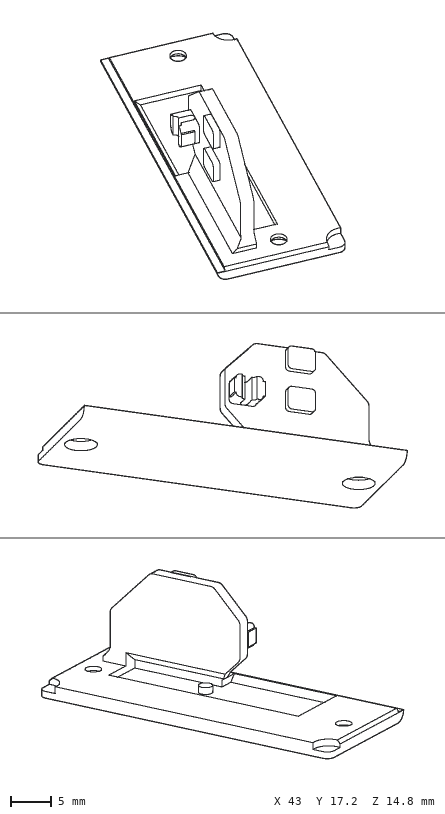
import cadquery as cq

LENGTH = 43.0
WIDTH = 17.2
THICKNESS = 1.8
SIDE_BEVEL = 0.45
LIP_HEIGHT = 1.4
LIP_DEPTH = 1.05
BACK_CORNER_RADIUS = 1.05
FLOOR_Z = 0.9

RECESS_DIAMETER = 4.1
RECESS_INSET = 0.45
HOLE_DIAMETER = 2.05
COUNTERBORE_DIAMETER = 4.1
COUNTERBORE_DEPTH = 1.25
HOLE_INSET = 3.0
HOLE_Y = 9.2

POCKET_LEFT = 9.2
POCKET_RIGHT = 37.2
POCKET_FRONT = 1.15
POCKET_BACK = 10.0
RAMP_RUN = 0.8
PIN_DIAMETER = 1.8
PIN_X = 25.03
PIN_Y = 6.65

WALL_LEFT = 20.35
WALL_RIGHT = 39.5
WALL_FRONT = 4.3
WALL_BACK = 6.05
WALL_TOP = 14.8
TOP_LEFT_BEVEL = 3.95
TOP_RIGHT_BEVEL = 5.95
LOWER_BEVEL_Z = 5.75
WALL_CORNER_RADIUS = 0.9
FOOT_X = WALL_LEFT + LOWER_BEVEL_Z - THICKNESS
FOOT_TOP = 3.25
FOOT_FRONT = WALL_FRONT - (FOOT_TOP - THICKNESS)
FLARE_TOP = 3.53
FLARE_RUN = 1.08
FLARE_RADIUS = 1.3
FOOT_BACK = 4.0
UNDERCUT_LOW_Z = 2.0
UNDERCUT_HIGH_Z = 3.55

PAD_WIDTH = 3.65
PAD_HEIGHT = 3.05
PAD_DEPTH = 0.9
PAD_CORNER_RADIUS = 0.5
PAD_X = 30.25
PAD_Z = 7.8
PAD_PITCH = 5.4
CLIP_X = 22.7
CLIP_WIDTH = 3.6
CLIP_DEPTH = 2.5
BARB_WIDTH = 4.13
BARB_HEIGHT = 1.98
BARB_DEPTH = 1.75
SLOT_WIDTH = 0.95
SLOT_MOUTH_RADIUS = 0.5


def block(x0, x1, y0, y1, z0, z1):
    return cq.Workplane("XY").box(x1 - x0, y1 - y0, z1 - z0, centered=False).translate((x0, y0, z0))


def upright(x, z, width, height, y_front, y_back):
    """Block centred on (x, z) that spans the given Y range."""
    return block(x - width / 2, x + width / 2, y_front, y_back, z - height / 2, z + height / 2)


def cylinder(x, y, diameter, z0, z1):
    return cq.Workplane("XY", origin=(x, y, z0)).circle(diameter / 2).extrude(z1 - z0)


def make_base():
    nose_center = cq.Vector(LIP_HEIGHT, LIP_HEIGHT)
    nose_mid = nose_center + cq.Vector(-1, -1).normalized() * LIP_HEIGHT
    base = (
        cq.Workplane("YZ")
        .moveTo(0, LIP_HEIGHT)
        .threePointArc((nose_mid.x, nose_mid.y), (LIP_HEIGHT, 0))
        .lineTo(WIDTH, 0)
        .lineTo(WIDTH, THICKNESS)
        .lineTo(LIP_DEPTH, THICKNESS)
        .lineTo(LIP_DEPTH, LIP_HEIGHT)
        .close()
        .extrude(LENGTH)
    )
    base = base.edges("|Z and >Y").fillet(BACK_CORNER_RADIUS)

    bevel_z = THICKNESS - SIDE_BEVEL
    beveled_outline = (
        cq.Workplane("XZ")
        .polyline([
            (0, 0), (LENGTH, 0), (LENGTH, bevel_z), (LENGTH - SIDE_BEVEL, THICKNESS),
            (SIDE_BEVEL, THICKNESS), (0, bevel_z),
        ])
        .close()
        .extrude(-WIDTH)
    )
    base = base.intersect(beveled_outline)

    for x in (RECESS_INSET, LENGTH - RECESS_INSET):
        base = base.cut(cylinder(x, WIDTH - RECESS_INSET, RECESS_DIAMETER, FLOOR_Z, THICKNESS))
    for x in (HOLE_INSET, LENGTH - HOLE_INSET):
        base = base.cut(cylinder(x, HOLE_Y, HOLE_DIAMETER, 0, THICKNESS))
        base = base.cut(cylinder(x, HOLE_Y, COUNTERBORE_DIAMETER, 0, COUNTERBORE_DEPTH))
    return base


def make_wall():
    outline = (
        cq.Workplane("XZ", origin=(0, WALL_BACK, 0))
        .polyline([
            (FOOT_X, THICKNESS),
            (WALL_LEFT, LOWER_BEVEL_Z),
            (WALL_LEFT, WALL_TOP - TOP_LEFT_BEVEL),
            (WALL_LEFT + TOP_LEFT_BEVEL, WALL_TOP),
            (WALL_RIGHT - TOP_RIGHT_BEVEL, WALL_TOP),
            (WALL_RIGHT, WALL_TOP - TOP_RIGHT_BEVEL),
            (WALL_RIGHT, FLARE_TOP),
            (WALL_RIGHT + FLARE_RUN, FLARE_TOP - FLARE_RUN),
            (WALL_RIGHT + FLARE_RUN, THICKNESS),
        ])
        .close()
        .extrude(WALL_BACK)
    )
    rounded = cq.selectors.BoxSelector(
        (WALL_LEFT - 0.45, -0.45, FLARE_TOP + 0.45), (WALL_RIGHT + 0.45, WALL_BACK + 0.45, WALL_TOP + 0.45)
    )
    outline = outline.edges("|Y").edges(rounded).fillet(WALL_CORNER_RADIUS)

    flare_bend = cq.selectors.BoxSelector(
        (WALL_RIGHT - 0.45, -0.45, FLARE_TOP - 0.45), (WALL_RIGHT + 0.45, WALL_BACK + 0.45, FLARE_TOP + 0.45)
    )
    outline = outline.edges("|Y").edges(flare_bend).fillet(FLARE_RADIUS)

    profile = (
        cq.Workplane("YZ")
        .polyline([
            (WALL_BACK, THICKNESS),
            (WALL_BACK, WALL_TOP),
            (WALL_FRONT, WALL_TOP),
            (WALL_FRONT, FOOT_TOP),
            (FOOT_FRONT, THICKNESS),
        ])
        .close()
        .extrude(LENGTH)
    )
    return outline.intersect(profile)


def make_pocket():
    front_part = (
        cq.Workplane("YZ", origin=(POCKET_LEFT, 0, 0))
        .polyline([
            (POCKET_FRONT, THICKNESS), (POCKET_FRONT + RAMP_RUN, FLOOR_Z),
            (POCKET_BACK, FLOOR_Z), (POCKET_BACK, THICKNESS),
        ])
        .close()
        .extrude(FOOT_X - POCKET_LEFT)
    )
    rear_part = (
        cq.Workplane("YZ", origin=(FOOT_X, 0, 0))
        .polyline([
            (FOOT_BACK, FLOOR_Z), (POCKET_BACK, FLOOR_Z), (POCKET_BACK, THICKNESS),
            (WALL_BACK, THICKNESS), (WALL_BACK, UNDERCUT_HIGH_Z), (FOOT_BACK, UNDERCUT_LOW_Z),
        ])
        .close()
        .extrude(POCKET_RIGHT - FOOT_X)
    )
    corner_part = (
        cq.Workplane("YZ", origin=(WALL_LEFT, 0, 0))
        .polyline([
            (FOOT_BACK, THICKNESS), (WALL_BACK, THICKNESS),
            (WALL_BACK, UNDERCUT_HIGH_Z), (FOOT_BACK, UNDERCUT_LOW_Z),
        ])
        .close()
        .extrude(FOOT_X - WALL_LEFT)
    )
    return front_part.union(rear_part).union(corner_part)


def make_pad(z):
    pad = upright(PAD_X, z, PAD_WIDTH, PAD_HEIGHT, WALL_FRONT - PAD_DEPTH, WALL_FRONT)
    return pad.edges("|Y").fillet(PAD_CORNER_RADIUS)


def make_clip():
    tip_y = WALL_FRONT - CLIP_DEPTH
    body = upright(CLIP_X, PAD_Z, CLIP_WIDTH, PAD_HEIGHT, tip_y, WALL_FRONT)
    body = body.edges("|Y").fillet(PAD_CORNER_RADIUS)
    barbs = upright(CLIP_X, PAD_Z, BARB_WIDTH, BARB_HEIGHT, tip_y, tip_y + BARB_DEPTH)

    half_slot = SLOT_WIDTH / 2
    half_mouth = half_slot + SLOT_MOUTH_RADIUS
    root_y = WALL_FRONT - half_slot
    slot = (
        cq.Workplane("XY", origin=(CLIP_X, 0, PAD_Z - PAD_HEIGHT / 2))
        .moveTo(-half_mouth, tip_y)
        .radiusArc((-half_slot, tip_y + SLOT_MOUTH_RADIUS), SLOT_MOUTH_RADIUS)
        .lineTo(-half_slot, root_y)
        .threePointArc((0, WALL_FRONT), (half_slot, root_y))
        .lineTo(half_slot, tip_y + SLOT_MOUTH_RADIUS)
        .radiusArc((half_mouth, tip_y), SLOT_MOUTH_RADIUS)
        .close()
        .extrude(PAD_HEIGHT)
    )
    return body.union(barbs).cut(slot)


result = make_base().union(make_wall()).cut(make_pocket())
result = result.union(cylinder(PIN_X, PIN_Y, PIN_DIAMETER, FLOOR_Z, THICKNESS))
for pad_z in (PAD_Z, PAD_Z + PAD_PITCH):
    result = result.union(make_pad(pad_z))
result = result.union(make_clip())